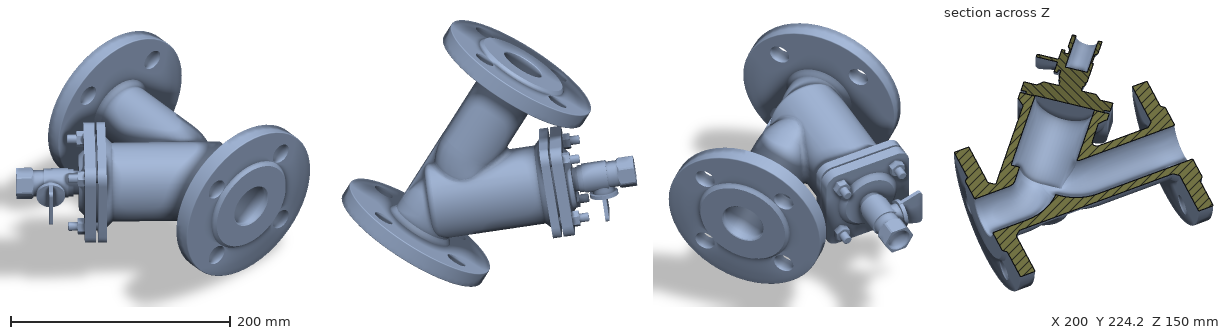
import cadquery as cq
import math

FACE_TO_FACE = 200.0
FLANGE_DIA = 150.0
FLANGE_THICKNESS = 15.0
FLANGE_EDGE_FILLET = 1.0
RAISED_FACE_DIA = 83.7
RAISED_FACE_BASE_DIA = 90.0
RAISED_FACE_HEIGHT = 3.5
HUB_DIA = 64.4
HUB_LENGTH = 5.0
BOLT_HOLE_DIA = 19.0
BOLT_CIRCLE_DIA = 110.0
PIPE_DIA = 56.0
BORE_DIA = 40.0
BORE_CHAMFER = 0.7

BRANCH_ANGLE = 50.0
ELBOW_RADIUS = 30.0
BRANCH_START_X = 51.8
INLET_START_X = -5.5
WEB_THICKNESS = 6.0

BRANCH_DIA = 72.0
BRANCH_BORE_DIA = 56.0
BRANCH_BACK = -7.0
BRANCH_BACK_FILLET = 5.4
BRANCH_BLEND = 4.0
SEAT_WIDTH = 85.0
FLARE_DIA = 83.2
SEAT_CORNER_RADIUS = 12.0
SEAT_BACK = 101.0
SEAT_FRONT = 108.8

COVER_BACK = 110.8
COVER_FRONT = 120.9
GASKET_DIA = 74.5
BOSS_BASE_DIA = 60.0
BOSS_TOP_DIA = 50.0
BOSS_FRONT = 125.8
NECK_DIA = 22.0
NECK_END = 130.5
COLLAR_DIA = 25.0
COLLAR_END = 135.2
VALVE_DIA = 27.0
VALVE_END = 157.5
TAIL_DIA = 24.0
HEX_START = 167.3
HEX_END = 182.8
HEX_ACROSS_FLATS = 25.5
HEX_EDGE_CHAMFER = 1.0
OUTLET_DIA = 20.6
OUTLET_DEPTH = 35.9
OUTLET_CHAMFER = 0.7
STEM_POSITION = 151.5
STEM_DIA = 20.0
DISC_DIA = 26.0
DISC_BACK = 15.5
DISC_FRONT = 19.0
BLADE_THICKNESS = 3.5
BLADE_END = 39.2
BLADE_ROOT_WIDTH = 27.0
BLADE_END_WIDTH = 39.5
BLADE_CORNER_RADIUS = 3.4

STUD_DIA = 8.0
STUD_END = 136.0
STUD_DEPTH = 6.7
STUD_CHAMFER = 0.7
STUD_SPACING = 56.5
NUT_ACROSS_FLATS = 13.0
NUT_HEIGHT = 6.5
NUT_CHAMFER_ANGLE = 30.0

COS_BRANCH = math.cos(math.radians(BRANCH_ANGLE))
SIN_BRANCH = math.sin(math.radians(BRANCH_ANGLE))
BRANCH_DIRECTION = cq.Vector(-COS_BRANCH, -SIN_BRANCH, 0)
SIDE_DIRECTION = cq.Vector(SIN_BRANCH, -COS_BRANCH, 0)


def elbow_tangent(angle):
    """Distance from the corner of an elbow's centreline to where its arc begins."""
    return ELBOW_RADIUS * math.tan(math.radians(angle / 2))


HALF_LENGTH = FACE_TO_FACE / 2
FLANGE_OUTER_X = HALF_LENGTH - RAISED_FACE_HEIGHT
FLANGE_INNER_X = FLANGE_OUTER_X - FLANGE_THICKNESS
INLET_ANGLE = 90 - BRANCH_ANGLE
INLET_BEND_X = INLET_START_X + elbow_tangent(INLET_ANGLE)
OUTLET_START_X = BRANCH_START_X + elbow_tangent(BRANCH_ANGLE)
INLET_LEG_LENGTH = (BRANCH_START_X - INLET_BEND_X) * SIN_BRANCH
CAVITY_START = (BRANCH_START_X - INLET_BEND_X) * COS_BRANCH


def branch_plane(distance):
    """Plane across the branch axis: local z runs outwards along it, local y is the part's Z."""
    return cq.Plane(
        origin=(BRANCH_START_X - distance * COS_BRANCH, -distance * SIN_BRANCH, 0),
        xDir=SIDE_DIRECTION,
        normal=BRANCH_DIRECTION,
    )


def branch_cylinder(diameter, start, end):
    return cq.Workplane(branch_plane(start)).circle(diameter / 2).extrude(end - start)


def branch_cone(start_dia, end_dia, start, end):
    profile = [(0, 0), (start_dia / 2, 0), (end_dia / 2, end - start), (0, end - start)]
    cone = cq.Workplane("XZ").polyline(profile).close().revolve(360, (0, 0, 0), (0, 1, 0))
    return cq.Workplane(obj=cone.val().moved(cq.Location(branch_plane(start))))


def hexagon(across_flats, start, end, angle=0):
    corner_dia = across_flats / math.cos(math.pi / 6)
    plane = branch_plane(start).rotated((0, 0, angle))
    return cq.Workplane(plane).polygon(6, corner_dia).extrude(end - start)


def bent_pipe(diameter, bend_x, side, angle, leg_length):
    """Round bar from a flange (side -1 left, +1 right), round an elbow and along its sloping leg."""
    tangent = elbow_tangent(angle)
    turn = math.radians(angle)
    sag = ELBOW_RADIUS / math.cos(turn / 2) - ELBOW_RADIUS

    def leg_point(distance):
        return (bend_x - side * distance * math.cos(turn), -distance * math.sin(turn))

    arc_middle = (bend_x + side * sag * math.sin(turn / 2), -sag * math.cos(turn / 2))
    path = (
        cq.Workplane("XY")
        .moveTo(side * HALF_LENGTH, 0)
        .lineTo(bend_x + side * tangent, 0)
        .threePointArc(arc_middle, leg_point(tangent))
        .lineTo(*leg_point(leg_length))
    )
    return cq.Workplane("YZ", origin=(side * HALF_LENGTH, 0, 0)).circle(diameter / 2).sweep(path)


def inlet_pipe(diameter):
    return bent_pipe(diameter, INLET_BEND_X, -1, INLET_ANGLE, INLET_LEG_LENGTH)


def outlet_pipe(diameter):
    return bent_pipe(diameter, BRANCH_START_X, 1, BRANCH_ANGLE, CAVITY_START)


def pipe_flange(side):
    """Flange with its raised face outside and its conical hub inside."""
    profile = [
        (HALF_LENGTH, 0),
        (HALF_LENGTH, RAISED_FACE_DIA / 2),
        (FLANGE_OUTER_X, RAISED_FACE_BASE_DIA / 2),
        (FLANGE_OUTER_X, FLANGE_DIA / 2),
        (FLANGE_INNER_X, FLANGE_DIA / 2),
        (FLANGE_INNER_X, HUB_DIA / 2),
        (FLANGE_INNER_X - HUB_LENGTH, PIPE_DIA / 2),
        (FLANGE_INNER_X - HUB_LENGTH, 0),
    ]
    outline = cq.Workplane("XY").polyline([(side * x, y) for x, y in profile]).close()
    flange = outline.revolve(360, (0, 0, 0), (1, 0, 0))
    rim = cq.selectors.RadiusNthSelector(-1)
    flange = flange.edges("%CIRCLE").edges(rim).fillet(FLANGE_EDGE_FILLET)
    hole_spacing = BOLT_CIRCLE_DIA / math.sqrt(2)
    holes = (
        cq.Workplane("YZ")
        .rect(hole_spacing, hole_spacing, forConstruction=True)
        .vertices()
        .circle(BOLT_HOLE_DIA / 2)
        .extrude(side * HALF_LENGTH)
    )
    return flange.cut(holes)


def elbow_web():
    """Flat web that fills the back of the two elbows, flush with the pipe."""
    length = OUTLET_START_X - INLET_START_X
    web = cq.Workplane("XY").box(length, PIPE_DIA / 2, WEB_THICKNESS, centered=(False, False, True))
    return web.translate((INLET_START_X, 0, 0))


def rounded_plate(start, end):
    """Square plate with rounded corners across the branch axis."""
    sketch = cq.Sketch().rect(SEAT_WIDTH, SEAT_WIDTH).vertices().fillet(SEAT_CORNER_RADIUS)
    return cq.Workplane(branch_plane(start)).placeSketch(sketch).extrude(end - start)


def stud_holes(start, end):
    centres = cq.Workplane(branch_plane(start)).rect(STUD_SPACING, STUD_SPACING, forConstruction=True)
    return centres.vertices().circle(STUD_DIA / 2).extrude(end - start)


def bore_mouth(side):
    """Conical chamfer at the mouth of the pipe bore."""
    radius = BORE_DIA / 2
    profile = [
        (HALF_LENGTH, 0),
        (HALF_LENGTH, radius + BORE_CHAMFER),
        (HALF_LENGTH - BORE_CHAMFER, radius),
        (HALF_LENGTH - BORE_CHAMFER, 0),
    ]
    outline = cq.Workplane("XY").polyline([(side * x, y) for x, y in profile]).close()
    return outline.revolve(360, (0, 0, 0), (1, 0, 0))


def make_housing():
    branch = branch_cylinder(BRANCH_DIA, BRANCH_BACK, SEAT_BACK)
    back_face = cq.selectors.DirectionMinMaxSelector(BRANCH_DIRECTION, directionMax=False)
    branch = branch.faces(back_face).edges().fillet(BRANCH_BACK_FILLET)
    housing = branch.union(inlet_pipe(PIPE_DIA))
    housing = housing.edges("%BSPLINE").fillet(BRANCH_BLEND)
    housing = housing.union(outlet_pipe(PIPE_DIA))
    housing = housing.union(elbow_web())
    flare_start = SEAT_BACK - (FLARE_DIA - BRANCH_DIA) / 2
    housing = housing.union(branch_cone(BRANCH_DIA, FLARE_DIA, flare_start, SEAT_BACK))
    housing = housing.union(rounded_plate(SEAT_BACK, SEAT_FRONT))
    for side in (-1, 1):
        housing = housing.union(pipe_flange(side))
    housing = housing.cut(inlet_pipe(BORE_DIA))
    housing = housing.cut(outlet_pipe(BORE_DIA))
    housing = housing.cut(branch_cylinder(BRANCH_BORE_DIA, CAVITY_START, SEAT_FRONT))
    for side in (-1, 1):
        housing = housing.cut(bore_mouth(side))
    return housing.cut(stud_holes(SEAT_FRONT - STUD_DEPTH, SEAT_FRONT))


def valve_hexagon():
    """Hexagon for a spanner, with bevelled edges and a 45 degree cone on its inner corners."""
    hexagonal = hexagon(HEX_ACROSS_FLATS, HEX_START, HEX_END)
    length = HEX_END - HEX_START
    along = cq.selectors.ParallelDirSelector(BRANCH_DIRECTION)
    hexagonal = hexagonal.edges(along).chamfer(HEX_EDGE_CHAMFER)
    end_dia = HEX_ACROSS_FLATS + 2 * length
    return hexagonal.intersect(branch_cone(HEX_ACROSS_FLATS, end_dia, HEX_START, HEX_END))


def valve_handle():
    """Stem across the valve with a disc and a flared blade."""
    stem_plane = cq.Plane(
        origin=branch_plane(STEM_POSITION).origin.toTuple(),
        xDir=(0, 0, 1),
        normal=SIDE_DIRECTION,
    )
    stem = cq.Workplane(stem_plane).circle(STEM_DIA / 2).extrude(DISC_FRONT)
    disc = cq.Workplane(stem_plane).workplane(offset=DISC_BACK)
    disc = disc.circle(DISC_DIA / 2).extrude(DISC_FRONT - DISC_BACK)
    half_root = BLADE_ROOT_WIDTH / 2
    half_end = BLADE_END_WIDTH / 2
    blade = (
        cq.Workplane(branch_plane(STEM_POSITION - BLADE_THICKNESS / 2))
        .moveTo(DISC_BACK, -half_root)
        .lineTo(DISC_FRONT, -half_root)
        .lineTo(BLADE_END, -half_end)
        .lineTo(BLADE_END, half_end)
        .lineTo(DISC_FRONT, half_root)
        .lineTo(DISC_BACK, half_root)
        .close()
        .extrude(BLADE_THICKNESS)
    )
    blade_tip = cq.selectors.DirectionMinMaxSelector(SIDE_DIRECTION)
    along = cq.selectors.ParallelDirSelector(BRANCH_DIRECTION)
    blade = blade.faces(blade_tip).edges(along).fillet(BLADE_CORNER_RADIUS)
    return stem.union(disc).union(blade)


def make_cover():
    cover = rounded_plate(COVER_BACK, COVER_FRONT)
    cover = cover.union(branch_cylinder(GASKET_DIA, SEAT_FRONT, COVER_BACK))
    cover = cover.union(branch_cone(BOSS_BASE_DIA, BOSS_TOP_DIA, COVER_FRONT, BOSS_FRONT))
    cover = cover.union(branch_cylinder(NECK_DIA, BOSS_FRONT, NECK_END))
    cover = cover.union(branch_cylinder(COLLAR_DIA, NECK_END, COLLAR_END))
    cover = cover.union(branch_cylinder(VALVE_DIA, COLLAR_END, VALVE_END))
    cover = cover.union(branch_cylinder(TAIL_DIA, VALVE_END, HEX_START))
    cover = cover.union(valve_hexagon())
    cover = cover.union(valve_handle())
    cover = cover.cut(branch_cylinder(OUTLET_DIA, HEX_END - OUTLET_DEPTH, HEX_END))
    mouth_start = HEX_END - OUTLET_CHAMFER
    cover = cover.cut(branch_cone(OUTLET_DIA, OUTLET_DIA + 2 * OUTLET_CHAMFER, mouth_start, HEX_END))
    return cover.cut(stud_holes(SEAT_FRONT, COVER_FRONT))


def make_stud(x_side, z_side):
    """Stud with its nut in one corner of the cover; neighbouring nuts are a quarter turn apart."""
    stud = branch_cylinder(STUD_DIA, SEAT_FRONT - STUD_DEPTH, STUD_END)
    tip = cq.selectors.DirectionMinMaxSelector(BRANCH_DIRECTION)
    stud = stud.faces(tip).chamfer(STUD_CHAMFER)
    nut_end = COVER_FRONT + NUT_HEIGHT
    nut_angle = 90 if x_side == z_side else 0
    nut = hexagon(NUT_ACROSS_FLATS, COVER_FRONT, nut_end, nut_angle)
    cone_base_dia = NUT_ACROSS_FLATS + 2 * NUT_HEIGHT / math.tan(math.radians(NUT_CHAMFER_ANGLE))
    nut = nut.intersect(branch_cone(cone_base_dia, NUT_ACROSS_FLATS, COVER_FRONT, nut_end))
    half_spacing = STUD_SPACING / 2
    offset = SIDE_DIRECTION * (x_side * half_spacing) + cq.Vector(0, 0, z_side * half_spacing)
    return stud.union(nut).translate(offset)


housing = make_housing()
cover = make_cover()
studs = [make_stud(x_side, z_side).val() for x_side in (-1, 1) for z_side in (-1, 1)]
result = cq.Compound.makeCompound([housing.val(), cover.val(), *studs])